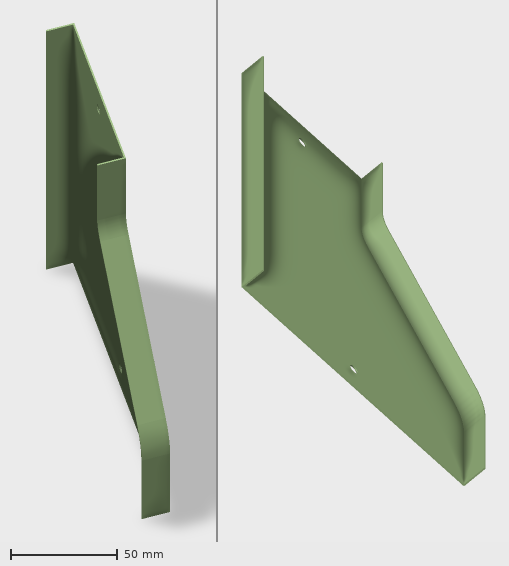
import cadquery as cq
import math

height = 194.0
wide_width = 152.0
narrow_width = 82.0
depth = 14.0
sheet = 0.8
taper_rise = 84.0
lower_corner_height = 58.6
concave_bend_radius = 18.0
convex_bend_radius = 30.3
hole_diameter = 5.0
hole_edge_distance = 15.0

taper_angle = math.atan2(wide_width - narrow_width, taper_rise)
upper_corner_height = lower_corner_height + taper_rise


def bend_points(corner_x, corner_z, radius, turn_side):
    """Start, middle and end of a bend between a vertical and the sloping side.

    turn_side is +1 where the vertical lies below the corner (convex bend)
    and -1 where it lies above (concave bend). The start is on the vertical.
    """
    tangent_length = radius * math.tan(taper_angle / 2)
    centre_x = corner_x - turn_side * radius
    centre_z = corner_z - turn_side * tangent_length

    def on_arc(angle):
        return (
            centre_x + turn_side * radius * math.cos(angle),
            centre_z + turn_side * radius * math.sin(angle),
        )

    return on_arc(0), on_arc(taper_angle / 2), on_arc(taper_angle)


def tapered_block():
    """Solid with the outer outline over the full depth."""
    lower_start, lower_middle, lower_end = bend_points(
        wide_width, lower_corner_height, convex_bend_radius, 1
    )
    upper_start, upper_middle, upper_end = bend_points(
        narrow_width, upper_corner_height, concave_bend_radius, -1
    )
    return (
        cq.Workplane("XZ", origin=(0, depth, 0))
        .moveTo(0, 0)
        .lineTo(wide_width, 0)
        .lineTo(*lower_start)
        .threePointArc(lower_middle, lower_end)
        .lineTo(*upper_end)
        .threePointArc(upper_middle, upper_start)
        .lineTo(narrow_width, height)
        .lineTo(0, height)
        .close()
        .extrude(depth)
    )


def folded_tray():
    """Back plate with a flange along each side, open at both ends."""
    return tapered_block().faces("<Y or <Z or >Z").shell(-sheet)


def hole_cutter(x, z):
    """Cylinder along Y that passes through the back plate."""
    return (
        cq.Workplane("XZ", origin=(x, depth, z))
        .circle(hole_diameter / 2)
        .extrude(depth)
    )


result = folded_tray()

hole_centres = (
    (wide_width / 2, hole_edge_distance),
    (narrow_width / 2, height - hole_edge_distance),
)
for hole_x, hole_z in hole_centres:
    result = result.cut(hole_cutter(hole_x, hole_z))